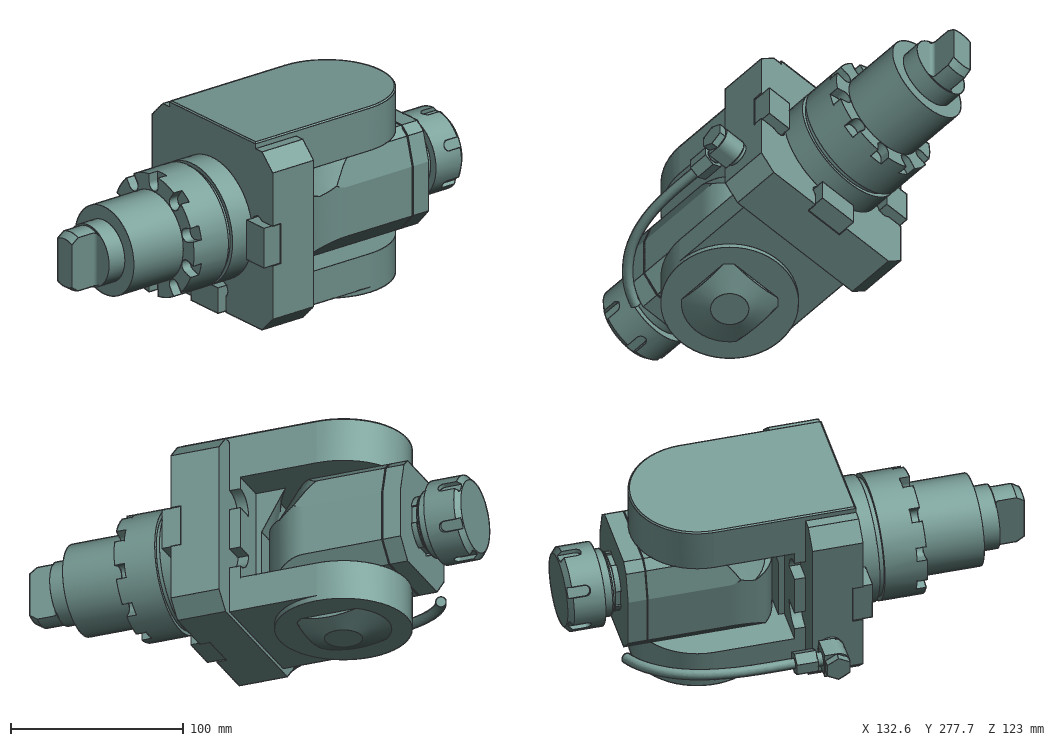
import cadquery as cq
import math

TIP_Y = -109.7
NOSE_Y = 168.0

FLANGE_WIDTH = 112.2
FLANGE_DEPTH = 30.3
FLANGE_CHAMFER = 10.0
KEY_WIDTH = 25.0
KEY_INNER = 39.1
KEY_OUTER = 55.2
KEY_DEPTH = 6.0
KEY_PROJECTION = 5.8
KEY_RELIEF_RADIUS = 9.7 / 2
KEY_RELIEF_INSET = 3.0

PIVOT_Y = 85.0
FORK_RADIUS = 40.0
FORK_TOP = 60.0
FORK_BOTTOM = -53.5
FORK_EDGE_CHAMFER = 0.8
PIVOT_DISC_BOTTOM = -57.0
SLOT_HALF_HEIGHT = 32.5
SLOT_FLOOR_Y = 37.0
SCREW_POCKET_RADIUS = 12.2
SCREW_POCKET_Z = 12.8
STOP_HALF_WIDTH = 16.7
STOP_FACE_Y = 40.5
STOP_RAMP_START_Z = 7.0
STOP_NEAR_TOP_Y = 45.3
STOP_BEND_Z = 27.0
STOP_FAR_BEND_Y = 52.2
STOP_FAR_TOP_Y = 55.5

CAP_RADIUS = 28.0
CAP_TIP_RADIUS = 11.0
CAP_BOTTOM = -63.0
CAP_FLAT = 22.0

COLLAR_RADIUS = 37.5
COLLAR_END = -43.5
GROOVE_RADIUS = 70.2 / 2
GROOVE_START = -15.0
GROOVE_END = -18.0
BODY_RADIUS = 27.5
BODY_END = -80.2
JOURNAL_RADIUS = 38.0 / 2
JOURNAL_END = -92.0
NOTCH_COUNT = 10
NOTCH_RADIUS = 4.2
NOTCH_CENTER_RADIUS = 32.0
NOTCH_DEPTH = 6.0

TANG_THICKNESS = 13.3
TANG_RADIUS = 18.0
TANG_ROOT_FILLET = 2.5
TANG_TIP_CHAMFER_LENGTH = 4.7
TANG_TIP_CHAMFER_HEIGHT = 3.0

HEAD_HALF_WIDTH = 32.5
HEAD_FRONT_Y = 134.6
HEAD_SHOULDER_HALF_WIDTH = 27.5
HEAD_TOP_HALF_WIDTH = 22.0
HEAD_SIDE_TOP = 9.7
HEAD_SHOULDER_TOP = 27.5
HEAD_SIDE_BOTTOM = -21.0
HEAD_TAIL_CENTER_Y = 73.5
HEAD_CONE_TOP_RADIUS = 25.3
HEAD_CONE_BASE_RADIUS = 39.5
HEAD_CONE_BASE_Z = 7.0
PLATE_SEAM_Y = 122.7
PLATE_SEAM_SIZE = 0.5

NECK_RADIUS = 17.5
NECK_END = 138.0
NECK_RELIEF_RADIUS = 16.7
NECK_SLOT_WIDTH = 11.0
NECK_SLOT_FLOOR = 15.3
RING_START = 139.5
RING_RADIUS = 20.0
RING_CHAMFER = 0.97
NUT_START = 146.0
NUT_RADIUS = 25.0
NUT_FACE_RADIUS = 21.7
NUT_CHAMFER_LENGTH = 3.0
NUT_SLOT_COUNT = 6
NUT_SLOT_FIRST_ANGLE = 25.5
NUT_SLOT_WIDTH = 6.5
NUT_SLOT_LENGTH = 14.0
NUT_SLOT_DEPTH = 2.8

ELBOW_Y = 20.0
ELBOW_Z = -29.0
ELBOW_RADIUS = 15.8 / 2
ELBOW_START_X = -58.3
ELBOW_BACK_Y = 27.2
ELBOW_NECK_RADIUS = 7.2
PLUG_START_X = -72.2
PLUG_END_X = -76.5
HOSE_X = -65.2
HOSE_NECK_RADIUS = 4.2
HOSE_NUT_START_Y = 30.8
HOSE_NUT_END_Y = 43.5
HOSE_NUT_RADIUS = 14.2 / 2
HOSE_RADIUS = 3.0
HOSE_BENDS = [(-63.5, 84.7, -29.1), (-55.0, 110.5, -30.8), (-44.7, 123.8, -32.8)]
HOSE_TIP = (-27.8, 134.6, -36.0)
HOSE_TIP_DIRECTION = (1, 0.4, -0.2)


def box(x_range, y_range, z_range):
    """Box between pairs of limits."""
    size = [high - low for low, high in (x_range, y_range, z_range)]
    corner = (x_range[0], y_range[0], z_range[0])
    return cq.Workplane("XY").box(*size, centered=False).translate(corner)


def cylinder_y(radius, y_start, y_end, x=0.0, z=0.0):
    """Cylinder parallel to Y."""
    return cq.Workplane("XZ", origin=(x, y_start, z)).circle(radius).extrude(y_start - y_end)


def turned_y(points):
    """Solid turned about the Y axis from (radius, y) points."""
    return cq.Workplane("XY").polyline(points).close().revolve(360, (0, 0, 0), (0, 1, 0))


def hexagon(radius):
    """Corners of a hexagon with one corner on the +Z side, as (across, z)."""
    angles = [math.radians(30 + 60 * i) for i in range(6)]
    return [(radius * math.cos(a), radius * math.sin(a)) for a in angles]


def about_shank(shape, angle):
    """Turn a shape about the shank axis, from +X towards +Z."""
    return shape.rotate((0, 0, 0), (0, 1, 0), -angle)


def make_flange():
    """Square flange with chamfered corners."""
    square = cq.Workplane("XZ").rect(FLANGE_WIDTH, FLANGE_WIDTH).extrude(-FLANGE_DEPTH)
    return square.edges("|Y").chamfer(FLANGE_CHAMFER)


def add_keys(body):
    """Fit a key in a relieved pocket on the -X, +X and -Z sides."""
    half = KEY_WIDTH / 2
    pocket = box((KEY_INNER, FLANGE_WIDTH), (0, KEY_DEPTH), (-half, half))
    for side in (-1, 1):
        relief_x = KEY_INNER + KEY_RELIEF_INSET
        relief_z = side * (half - KEY_RELIEF_INSET)
        pocket = pocket.union(cylinder_y(KEY_RELIEF_RADIUS, 0, KEY_DEPTH, relief_x, relief_z))
    key = box((KEY_INNER, KEY_OUTER), (-KEY_PROJECTION, KEY_DEPTH), (-half, half))
    for angle in (0, 180, 270):
        body = body.cut(about_shank(pocket, angle))
        body = body.union(about_shank(key, angle))
    return body


def make_fork():
    """Round-ended fork with a pivot disc below it and a slot for the head."""
    outline = (
        cq.Workplane("XY", origin=(0, 0, FORK_BOTTOM))
        .moveTo(-FORK_RADIUS, 0)
        .lineTo(FORK_RADIUS, 0)
        .lineTo(FORK_RADIUS, PIVOT_Y)
        .threePointArc((0, PIVOT_Y + FORK_RADIUS), (-FORK_RADIUS, PIVOT_Y))
        .close()
    )
    fork = outline.extrude(FORK_TOP - FORK_BOTTOM).faces(">Z").edges().chamfer(FORK_EDGE_CHAMFER)
    disc = (
        cq.Workplane("XY", origin=(0, PIVOT_Y, PIVOT_DISC_BOTTOM))
        .circle(FORK_RADIUS)
        .extrude(FORK_BOTTOM - PIVOT_DISC_BOTTOM)
    )
    slot = box(
        (-FORK_RADIUS, FORK_RADIUS),
        (SLOT_FLOOR_Y, PIVOT_Y + FORK_RADIUS),
        (-SLOT_HALF_HEIGHT, SLOT_HALF_HEIGHT),
    )
    return fork.union(disc).cut(slot)


def cut_screw_pockets(body):
    """Rounded screw pockets behind the flange, open to both sides of the fork."""
    land = box(
        (-FLANGE_WIDTH, FLANGE_WIDTH), (FLANGE_DEPTH, SLOT_FLOOR_Y), (-SCREW_POCKET_Z, SCREW_POCKET_Z)
    )
    for x in (-FORK_RADIUS, FORK_RADIUS):
        for z in (-SCREW_POCKET_Z, SCREW_POCKET_Z):
            pocket = cylinder_y(SCREW_POCKET_RADIUS, FLANGE_DEPTH, SLOT_FLOOR_Y, x, z)
            body = body.cut(pocket.cut(land))
    return body


def make_stop():
    """Ramped stop on the slot floor, twisting to reach further out towards +X."""

    def outline(bend_y, top_y):
        return [
            (SLOT_FLOOR_Y, -SLOT_HALF_HEIGHT),
            (STOP_FACE_Y, -SLOT_HALF_HEIGHT),
            (STOP_FACE_Y, STOP_RAMP_START_Z),
            (bend_y, STOP_BEND_Z),
            (top_y, SLOT_HALF_HEIGHT),
            (SLOT_FLOOR_Y, SLOT_HALF_HEIGHT),
        ]

    near_outline = outline(STOP_NEAR_TOP_Y, STOP_NEAR_TOP_Y)
    far_outline = outline(STOP_FAR_BEND_Y, STOP_FAR_TOP_Y)
    near = cq.Workplane("YZ").polyline(near_outline).close().extrude(-STOP_HALF_WIDTH)
    far = (
        cq.Workplane("YZ")
        .polyline(near_outline)
        .close()
        .workplane(offset=STOP_HALF_WIDTH)
        .polyline(far_outline)
        .close()
        .loft(ruled=True)
    )
    return near.union(far)


def make_cap():
    """Conical cap trimmed flat on the sides and towards the flange."""
    cone = (
        cq.Workplane("XZ")
        .polyline(
            [
                (0, PIVOT_DISC_BOTTOM),
                (CAP_RADIUS, PIVOT_DISC_BOTTOM),
                (CAP_TIP_RADIUS, CAP_BOTTOM),
                (0, CAP_BOTTOM),
            ]
        )
        .close()
        .revolve(360, (0, 0, 0), (0, 1, 0))
    )
    trim = box((-CAP_FLAT, CAP_FLAT), (-CAP_FLAT, CAP_RADIUS), (CAP_BOTTOM, PIVOT_DISC_BOTTOM))
    return cone.intersect(trim).translate((0, PIVOT_Y, 0))


def make_shank():
    """Stepped shank with a ring of notches in the collar face."""
    shank = turned_y(
        [
            (0, 0),
            (COLLAR_RADIUS, 0),
            (COLLAR_RADIUS, GROOVE_START),
            (GROOVE_RADIUS, GROOVE_START),
            (GROOVE_RADIUS, GROOVE_END),
            (COLLAR_RADIUS, GROOVE_END),
            (COLLAR_RADIUS, COLLAR_END),
            (BODY_RADIUS, COLLAR_END),
            (BODY_RADIUS, BODY_END),
            (JOURNAL_RADIUS, BODY_END),
            (JOURNAL_RADIUS, JOURNAL_END),
            (0, JOURNAL_END),
        ]
    )
    notch_end = COLLAR_END + NOTCH_DEPTH
    notch = cylinder_y(NOTCH_RADIUS, COLLAR_END, notch_end, NOTCH_CENTER_RADIUS).union(
        box(
            (NOTCH_CENTER_RADIUS, COLLAR_RADIUS + NOTCH_RADIUS),
            (COLLAR_END, notch_end),
            (-NOTCH_RADIUS, NOTCH_RADIUS),
        )
    )
    for i in range(NOTCH_COUNT):
        shank = shank.cut(about_shank(notch, 90 + 360 / NOTCH_COUNT * i))
    return shank


def make_tang():
    """Flat drive tang with filleted root and a tapered tip."""
    half = TANG_THICKNESS / 2
    root = half + TANG_ROOT_FILLET
    root_end = JOURNAL_END - TANG_ROOT_FILLET
    bend = TANG_ROOT_FILLET * (1 - math.sqrt(0.5))
    plan = (
        cq.Workplane("XY", origin=(0, 0, -TANG_RADIUS))
        .moveTo(-root, JOURNAL_END)
        .threePointArc((-half - bend, JOURNAL_END - bend), (-half, root_end))
        .lineTo(-half, TIP_Y)
        .lineTo(half, TIP_Y)
        .lineTo(half, root_end)
        .threePointArc((half + bend, JOURNAL_END - bend), (root, JOURNAL_END))
        .close()
        .extrude(2 * TANG_RADIUS)
    )
    round_bar = turned_y(
        [
            (0, JOURNAL_END),
            (TANG_RADIUS, JOURNAL_END),
            (TANG_RADIUS, TIP_Y + TANG_TIP_CHAMFER_LENGTH),
            (TANG_RADIUS - TANG_TIP_CHAMFER_HEIGHT, TIP_Y),
            (0, TIP_Y),
        ]
    )
    return plan.intersect(round_bar)


def head_section(y_start, y_end, inset=0.0):
    """Length of the head's eight-sided section, optionally drawn in all round."""
    right = [
        (HEAD_TOP_HALF_WIDTH - inset, -SLOT_HALF_HEIGHT + inset),
        (HEAD_HALF_WIDTH - inset, HEAD_SIDE_BOTTOM),
        (HEAD_HALF_WIDTH - inset, HEAD_SIDE_TOP),
        (HEAD_SHOULDER_HALF_WIDTH - inset, HEAD_SHOULDER_TOP),
        (HEAD_TOP_HALF_WIDTH - inset, SLOT_HALF_HEIGHT - inset),
    ]
    left = [(-x, z) for x, z in reversed(right)]
    return cq.Workplane("XZ", origin=(0, y_start, 0)).polyline(right + left).close().extrude(y_start - y_end)


def make_head():
    """Head with a round tail that is coned about the swivel axis to clear the fork."""
    tail_y = HEAD_TAIL_CENTER_Y - HEAD_HALF_WIDTH
    seam_end = PLATE_SEAM_Y + PLATE_SEAM_SIZE
    head = (
        head_section(tail_y, PLATE_SEAM_Y)
        .union(head_section(PLATE_SEAM_Y, seam_end, PLATE_SEAM_SIZE))
        .union(head_section(seam_end, HEAD_FRONT_Y))
    )
    tail_plan = (
        cq.Workplane("XY", origin=(0, 0, -SLOT_HALF_HEIGHT))
        .moveTo(-HEAD_HALF_WIDTH, HEAD_FRONT_Y)
        .lineTo(-HEAD_HALF_WIDTH, HEAD_TAIL_CENTER_Y)
        .threePointArc((0, tail_y), (HEAD_HALF_WIDTH, HEAD_TAIL_CENTER_Y))
        .lineTo(HEAD_HALF_WIDTH, HEAD_FRONT_Y)
        .close()
        .extrude(2 * SLOT_HALF_HEIGHT)
    )
    cone_clearance = (
        cq.Workplane("XZ", origin=(0, PIVOT_Y, 0))
        .polyline(
            [
                (HEAD_CONE_TOP_RADIUS, SLOT_HALF_HEIGHT),
                (HEAD_CONE_BASE_RADIUS, HEAD_CONE_BASE_Z),
                (2 * HEAD_CONE_BASE_RADIUS, HEAD_CONE_BASE_Z),
                (2 * HEAD_CONE_BASE_RADIUS, SLOT_HALF_HEIGHT),
            ]
        )
        .close()
        .revolve(360, (0, 0, 0), (0, 1, 0))
    )
    in_front_of_pivot = box(
        (-HEAD_HALF_WIDTH, HEAD_HALF_WIDTH), (PIVOT_Y, HEAD_FRONT_Y), (HEAD_CONE_BASE_Z, SLOT_HALF_HEIGHT)
    )
    cone_clearance = cone_clearance.cut(in_front_of_pivot)
    return head.intersect(tail_plan).cut(cone_clearance)


def make_collet_nut():
    """Slotted spindle neck, ring and collet nut."""
    ring_shoulder = RING_START + RING_CHAMFER
    nose = turned_y(
        [
            (0, HEAD_FRONT_Y),
            (NECK_RADIUS, HEAD_FRONT_Y),
            (NECK_RADIUS, NECK_END),
            (NECK_RELIEF_RADIUS, NECK_END),
            (NECK_RELIEF_RADIUS, RING_START),
            (RING_RADIUS - RING_CHAMFER, RING_START),
            (RING_RADIUS, ring_shoulder),
            (RING_RADIUS, NUT_START),
            (NUT_RADIUS, NUT_START),
            (NUT_RADIUS, NOSE_Y - NUT_CHAMFER_LENGTH),
            (NUT_FACE_RADIUS, NOSE_Y),
            (0, NOSE_Y),
        ]
    )
    half_neck_slot = NECK_SLOT_WIDTH / 2
    neck_slot = box(
        (NECK_SLOT_FLOOR, NECK_RADIUS), (HEAD_FRONT_Y, NECK_END), (-half_neck_slot, half_neck_slot)
    )
    for angle in (0, 90, 180, 270):
        nose = nose.cut(about_shank(neck_slot, angle))
    half_slot = NUT_SLOT_WIDTH / 2
    slot_center_y = NOSE_Y - NUT_SLOT_LENGTH + half_slot
    slot_floor = NUT_RADIUS - NUT_SLOT_DEPTH
    nut_slot = box((slot_floor, NUT_RADIUS), (slot_center_y, NOSE_Y), (-half_slot, half_slot)).union(
        cq.Workplane("YZ", origin=(slot_floor, slot_center_y, 0)).circle(half_slot).extrude(NUT_SLOT_DEPTH)
    )
    for i in range(NUT_SLOT_COUNT):
        nose = nose.cut(about_shank(nut_slot, NUT_SLOT_FIRST_ANGLE + 360 / NUT_SLOT_COUNT * i))
    return nose


def make_elbow():
    """Elbow on the flange side, square towards the hose, with a hexagonal plug."""
    flange_side = -FLANGE_WIDTH / 2
    neck = (
        cq.Workplane("YZ", origin=(flange_side, ELBOW_Y, ELBOW_Z))
        .circle(ELBOW_NECK_RADIUS)
        .extrude(ELBOW_START_X - flange_side)
    )
    barrel = (
        cq.Workplane("YZ", origin=(ELBOW_START_X, ELBOW_Y, ELBOW_Z))
        .circle(ELBOW_RADIUS)
        .extrude(PLUG_START_X - ELBOW_START_X)
    )
    square = box(
        (PLUG_START_X, ELBOW_START_X),
        (ELBOW_Y, ELBOW_BACK_Y),
        (ELBOW_Z - ELBOW_RADIUS, ELBOW_Z + ELBOW_RADIUS),
    )
    beyond = box(
        (PLUG_START_X, ELBOW_START_X),
        (ELBOW_BACK_Y, ELBOW_Y + ELBOW_RADIUS),
        (ELBOW_Z - ELBOW_RADIUS, ELBOW_Z + ELBOW_RADIUS),
    )
    plug = (
        cq.Workplane("YZ", origin=(PLUG_START_X, ELBOW_Y, ELBOW_Z))
        .polyline(hexagon(ELBOW_RADIUS))
        .close()
        .extrude(PLUG_END_X - PLUG_START_X)
    )
    return neck.union(barrel).union(square).cut(beyond).union(plug)


def make_hose():
    """Hose nut and the bent hose leading towards the spindle nose."""
    neck = cylinder_y(HOSE_NECK_RADIUS, ELBOW_Y, HOSE_NUT_START_Y, HOSE_X, ELBOW_Z)
    nut = (
        cq.Workplane("XZ", origin=(HOSE_X, HOSE_NUT_START_Y, ELBOW_Z))
        .polyline(hexagon(HOSE_NUT_RADIUS))
        .close()
        .extrude(HOSE_NUT_START_Y - HOSE_NUT_END_Y)
    )
    start = (HOSE_X, HOSE_NUT_END_Y, ELBOW_Z)
    path = cq.Workplane("XY").spline([start, *HOSE_BENDS, HOSE_TIP], tangents=[(0, 1, 0), HOSE_TIP_DIRECTION])
    hose = cq.Workplane("XZ", origin=start).circle(HOSE_RADIUS).sweep(path)
    return neck.union(nut).union(hose)


body = make_flange().union(make_fork())
body = cut_screw_pockets(body)
body = add_keys(body)
for piece in (
    make_stop(),
    make_cap(),
    make_shank(),
    make_tang(),
    make_head(),
    make_collet_nut(),
    make_elbow(),
    make_hose(),
):
    body = body.union(piece)

result = body